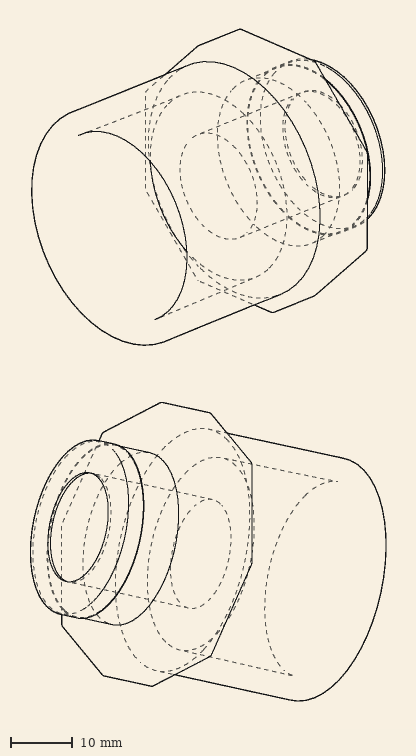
import cadquery as cq

total_length = 46.65

socket_length = 26.5
socket_rim_diameter = 40.15
socket_root_diameter = 40.05
socket_mouth_bore = 32.3
socket_floor_bore = 31.85
socket_depth = 23.0
rim_fillet = 0.5
mouth_fillet = 0.5

collar_sides = 8
collar_across_flats = 42.0
collar_length = 10.0
collar_corner_fillet = 0.95
collar_edge_fillet = 0.5

neck_diameter = 28.5
passage_diameter = 18.0
ring_diameter = 28.85
ring_length = 3.35
ring_edge_fillet = 0.3
ring_end_thickness = 0.5

ring_start = total_length - ring_length
neck_end = total_length - ring_end_thickness


def cylinder_along_y(diameter, start, end):
    """Round bar on the Y axis from start to end."""
    plane = cq.Workplane("XZ", origin=(0, start, 0))
    return plane.circle(diameter / 2).extrude(start - end)


def cone_along_y(start_diameter, end_diameter, start, end):
    """Tapered round bar on the Y axis, changing evenly from one diameter to the other."""
    start_radius = start_diameter / 2
    end_radius = end_diameter / 2
    length = end - start
    cone = cq.Solid.makeCone(start_radius, end_radius, length, cq.Vector(0, start, 0), cq.Vector(0, 1, 0))
    return cq.Workplane(obj=cone)


def make_collar():
    """Octagon with flats facing X and Z, rounded at its corners and around both faces."""
    collar = (
        cq.Workplane("XZ", origin=(0, socket_length, 0))
        .polygon(collar_sides, collar_across_flats, circumscribed=True)
        .extrude(-collar_length)
    )
    collar = collar.edges("|Y").fillet(collar_corner_fillet)
    return collar.faces("<Y or >Y").edges().fillet(collar_edge_fillet)


def make_fitting():
    """Socket, wrench collar and neck in one piece, with the stepped bore through them."""
    socket = cone_along_y(socket_rim_diameter, socket_root_diameter, 0, socket_length)
    socket = socket.faces("<Y").edges().fillet(rim_fillet)
    neck = cylinder_along_y(neck_diameter, socket_length, neck_end)
    body = make_collar().union(socket).union(neck)

    socket_hole = cone_along_y(socket_mouth_bore, socket_floor_bore, 0, socket_depth)
    passage = cylinder_along_y(passage_diameter, 0, total_length)
    body = body.cut(socket_hole).cut(passage)
    mouth_edge = cq.selectors.RadiusNthSelector(0)
    return body.faces("<Y").edges(mouth_edge).fillet(mouth_fillet)


def make_ring():
    """Thin cup over the neck end: a skirt round the neck and a flat end pierced by the passage."""
    ring = cylinder_along_y(ring_diameter, ring_start, total_length)
    ring = ring.faces(">Y").edges().fillet(ring_edge_fillet)
    neck_seat = cylinder_along_y(neck_diameter, ring_start, neck_end)
    passage = cylinder_along_y(passage_diameter, ring_start, total_length)
    return ring.cut(neck_seat).cut(passage)


fitting = make_fitting()
ring = make_ring()
result = cq.Compound.makeCompound([fitting.val(), ring.val()])